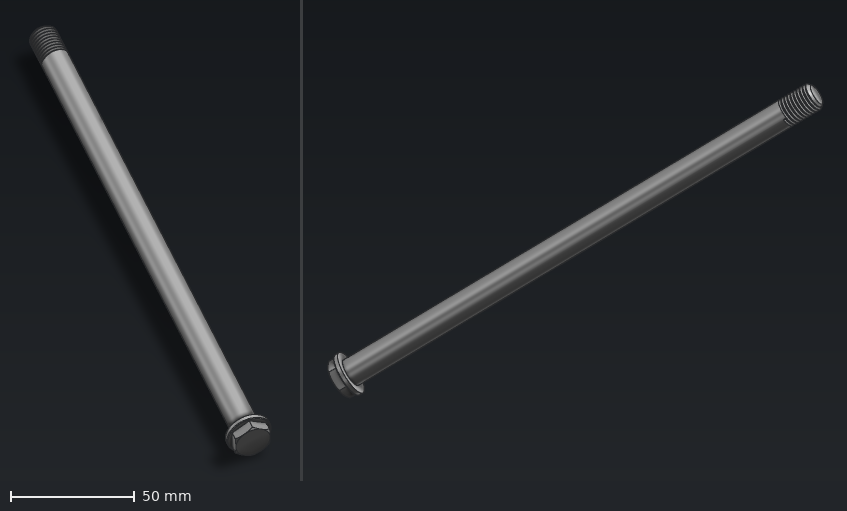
import cadquery as cq
import math

total_length = 236.0
shank_diameter = 12.0
shank_radius = shank_diameter / 2

head_length = 6.4
flange_diameter = 19.0
flange_thickness = 2.1
flange_chamfer = 0.35
hex_across_flats = 14.9
hex_across_corners = hex_across_flats / math.cos(math.radians(30))
hex_chamfer_angle = 30.0

thread_pitch = 1.5
thread_depth = 0.92
thread_end = 15.8
groove_mouth = 0.9 * thread_pitch
groove_floor = 0.15 * thread_pitch
groove_overshoot = 0.12
tip_chamfer = 1.53

head_start = total_length - head_length
hex_start = head_start + flange_thickness


def cylinder_along_x(start, end, diameter):
    return cq.Workplane("YZ", origin=(start, 0, 0)).circle(diameter / 2).extrude(end - start)


def make_shank():
    """Plain round shank with a conical lead-in at the tip."""
    shank = cylinder_along_x(0, hex_start, shank_diameter)
    return shank.faces("<X").chamfer(tip_chamfer)


def make_hexagon():
    """Hexagon with corners on +Z and -Z, its outer corners turned off by a cone."""
    hexagon = (
        cq.Workplane("YZ", origin=(hex_start, 0, 0))
        .transformed(rotate=(0, 0, 90))
        .polygon(6, hex_across_corners)
        .extrude(total_length - hex_start)
    )
    corner_radius = hex_across_corners / 2
    face_radius = hex_across_flats / 2
    cone_length = (corner_radius - face_radius) * math.tan(math.radians(hex_chamfer_angle))
    turned_blank = (
        cq.Workplane("XY")
        .moveTo(hex_start, 0)
        .lineTo(hex_start, corner_radius)
        .lineTo(total_length - cone_length, corner_radius)
        .lineTo(total_length, face_radius)
        .lineTo(total_length, 0)
        .close()
        .revolve(360, (0, 0, 0), (1, 0, 0))
    )
    return hexagon.intersect(turned_blank)


def make_thread_groove():
    """Helical V groove, starting beyond the tip and stopping at the thread end."""
    groove_start = -thread_pitch
    helix_height = thread_end - groove_mouth / 2 - groove_start
    helix = cq.Wire.makeHelix(thread_pitch, helix_height, shank_radius)
    root_radius = shank_radius - thread_depth
    outer_radius = shank_radius + groove_overshoot
    flank_slope = (groove_mouth - groove_floor) / 2 / thread_depth
    outer_half_width = groove_mouth / 2 + flank_slope * groove_overshoot
    groove = (
        cq.Workplane("XZ")
        .moveTo(root_radius, -groove_floor / 2)
        .lineTo(outer_radius, -outer_half_width)
        .lineTo(outer_radius, outer_half_width)
        .lineTo(root_radius, groove_floor / 2)
        .close()
        .sweep(cq.Workplane(obj=helix), isFrenet=True)
    )
    return groove.rotate((0, 0, 0), (0, 1, 0), 90).translate((groove_start, 0, 0))


flange = cylinder_along_x(head_start, hex_start, flange_diameter).faces(">X").chamfer(flange_chamfer)
bolt_blank = make_shank().union(flange).union(make_hexagon())
result = bolt_blank.cut(make_thread_groove())